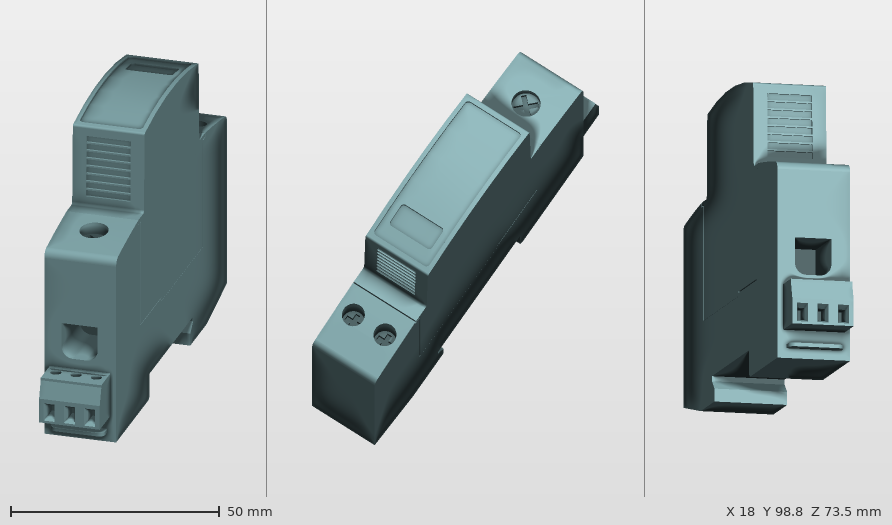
import cadquery as cq
import math


WIDTH = 18.0
LENGTH = 90.0
CENTRE_Y = 45.1
SHOULDER_Z = 50.6
SHOULDER_HALF = 27.0
SHOULDER_RADIUS = 230.0
FRONT_CORNER_RADIUS = 2.1
BACK_CORNER_RADIUS = 1.8
BACK_BEVEL_LENGTH = 16.6
BACK_BEVEL_RISE = 3.75

RAIL_FRONT_Y = 27.2
RAIL_BACK_Y = 62.6
RAIL_DEPTH = 6.6
RAIL_CHAMFER = 0.8
HOOK_TIP_Y = 60.2
HOOK_LOW_Z = 3.15
HOOK_HIGH_Z = 5.35

TOWER_TOP_Z = 73.51
TOWER_EDGE_Z = 71.1
TOWER_HALF_TOP = 21.95
TOWER_HALF_BASE = 22.5
TOWER_EDGE_RADIUS = 0.6
TOWER_BASE_RADIUS = 0.7

JOINT_GAP = 0.3
JOINT_BACK_Y = 70.3
JOINT_FRONT_Y = 20.0
JOINT_LIP_Y = 72.1
JOINT_LIP_Z = 49.4
JOINT_STEP_Y = 37.0
JOINT_STEP_Z = 22.4
JOINT_FLOOR_Z = 21.5
SEAM_WIDTH = 0.06
SEAM_DEPTH = 0.5

LABEL_WIDTH = 15.8
LABEL_LENGTH = 40.8
LABEL_DEPTH = 0.6
LABEL_CORNER_RADIUS = 1.0
WINDOW_WIDTH = 12.0
WINDOW_LENGTH = 6.1
WINDOW_Y = 58.45
WINDOW_DEPTH = 0.6
WINDOW_CORNER_RADIUS = 0.8

GRIP_COUNT = 8
GRIP_PITCH = 2.0
GRIP_HEIGHT = 1.6
GRIP_WIDTH = 11.1
GRIP_FIRST_Z = 53.05
GRIP_DEPTH = 0.6

FRONT_SCREW_Y = 11.2
FRONT_SCREW_RADIUS = 3.5
BACK_SCREW_Y = 78.9
BACK_SCREW_X = 4.55
BACK_SCREW_RADIUS = 2.75
FRONT_SCREW_DEPTH = 2.5
BACK_SCREW_DEPTH = 5.0
CROSS_DEPTH = 1.0
CROSS_TURN = 45
FRONT_CROSS_SPAN = 6.0
FRONT_CROSS_ARM = 1.3
BACK_CROSS_SPAN = 4.2
BACK_CROSS_ARM = 1.2

ENTRY_X = -0.15
ENTRY_WIDTH = 9.0
ENTRY_BOTTOM_Z = 20.5
ENTRY_TOP_Z = 29.5
ENTRY_CORNER_RADIUS = 2.8
ENTRY_DEPTH = 15.0

BLOCK_WIDTH = 15.2
BLOCK_REACH = 8.8
BLOCK_BOTTOM_Z = 6.85
BLOCK_TOP_Z = 17.95
BLOCK_TOP_REACH = 7.45
BLOCK_SLOPE_HIGH_Z = 17.3
BLOCK_SLOPE_LOW_Z = 13.05
POLE_COUNT = 3
POLE_PITCH = 5.08
POLE_SCREW_Y = -3.35
POLE_SCREW_RADIUS = 1.35
POLE_SCREW_DEPTH = 1.0
POLE_SLOT_WIDTH = 0.5
POLE_SLOT_DEPTH = 0.5
POLE_SLOT_TURN = 45
PORT_MOUTH_WIDTH = 2.75
PORT_MOUTH_BOTTOM_Z = 7.45
PORT_MOUTH_TOP_Z = 11.95
PORT_THROAT_WIDTH = 1.7
PORT_THROAT_BOTTOM_Z = 8.05
PORT_THROAT_TOP_Z = 11.0
PORT_FUNNEL_DEPTH = 1.5
PORT_DEPTH = 5.0
NOTCH_BACK_Y = -1.35
NOTCH_FRONT_Y = -2.2
NOTCH_DEPTH = 0.3
NOTCH_WIDTH = 14.4
NOTCH_END_SLOPE = 0.7

SLIDER_WIDTH = 13.6
SLIDER_REACH = 3.1
SLIDER_BOTTOM_Z = 2.4
SLIDER_TOP_Z = 3.3
SLIDER_CORNER_RADIUS = 1.6
LATCH_TIP_Y = 30.3
LATCH_TIP_Z = 5.4
LATCH_TOP_Z = 6.1
LATCH_BOTTOM_Z = 3.3
LATCH_BELLY_Y = 29.0
LATCH_BELLY_Z = 3.9

EMBED = 1.0


def shoulder_z(y):
    """Height of the shallow arc that forms both shoulders of the housing."""
    offset = abs(y - CENTRE_Y)
    arc_centre_z = SHOULDER_Z - math.sqrt(SHOULDER_RADIUS**2 - SHOULDER_HALF**2)
    return arc_centre_z + math.sqrt(SHOULDER_RADIUS**2 - offset**2)


def across(profile, width):
    """Extrude a YZ profile evenly to both sides of the middle plane."""
    return profile.extrude(width / 2, both=True)


def box(x_range, y_range, z_range):
    """Block that fills the three (low, high) ranges."""
    size = [high - low for low, high in (x_range, y_range, z_range)]
    corner = cq.Vector(x_range[0], y_range[0], z_range[0])
    return cq.Workplane(cq.Solid.makeBox(*size, corner))


def housing():
    shoulder_front = CENTRE_Y - SHOULDER_HALF
    shoulder_back = CENTRE_Y + SHOULDER_HALF
    front_middle = shoulder_front / 2
    back_middle = (shoulder_back + LENGTH) / 2
    profile = (
        cq.Workplane("YZ")
        .moveTo(0, 0)
        .lineTo(0, shoulder_z(0))
        .threePointArc((front_middle, shoulder_z(front_middle)), (shoulder_front, SHOULDER_Z))
        .lineTo(shoulder_back, SHOULDER_Z)
        .threePointArc((back_middle, shoulder_z(back_middle)), (LENGTH, shoulder_z(LENGTH)))
        .lineTo(LENGTH, BACK_BEVEL_RISE)
        .lineTo(LENGTH - BACK_BEVEL_LENGTH, 0)
        .lineTo(HOOK_TIP_Y, 0)
        .lineTo(HOOK_TIP_Y, HOOK_LOW_Z)
        .lineTo(RAIL_BACK_Y, HOOK_HIGH_Z)
        .lineTo(RAIL_BACK_Y, RAIL_DEPTH)
        .lineTo(RAIL_FRONT_Y, RAIL_DEPTH)
        .lineTo(RAIL_FRONT_Y, RAIL_CHAMFER)
        .lineTo(RAIL_FRONT_Y - RAIL_CHAMFER, 0)
        .close()
    )
    body = across(profile, WIDTH)
    front_corner = cq.selectors.NearestToPointSelector((0, 0, shoulder_z(0)))
    body = body.edges(front_corner).fillet(FRONT_CORNER_RADIUS)
    back_corner = cq.selectors.NearestToPointSelector((0, LENGTH, shoulder_z(LENGTH)))
    return body.edges(back_corner).fillet(BACK_CORNER_RADIUS)


def dome(drop):
    """Cartridge block under the domed top, lowered by `drop`; the dome is two equal arcs."""
    rise = TOWER_TOP_Z - TOWER_EDGE_Z
    radius = (TOWER_HALF_TOP**2 + rise**2) / (2 * rise)
    quarter = TOWER_HALF_TOP / 2
    quarter_z = TOWER_TOP_Z - radius + math.sqrt(radius**2 - quarter**2) - drop
    edge_z = TOWER_EDGE_Z - drop
    top_z = TOWER_TOP_Z - drop
    return across(
        cq.Workplane("YZ")
        .moveTo(CENTRE_Y - TOWER_HALF_BASE, SHOULDER_Z - EMBED)
        .lineTo(CENTRE_Y - TOWER_HALF_TOP, edge_z)
        .threePointArc((CENTRE_Y - quarter, quarter_z), (CENTRE_Y, top_z))
        .threePointArc((CENTRE_Y + quarter, quarter_z), (CENTRE_Y + TOWER_HALF_TOP, edge_z))
        .lineTo(CENTRE_Y + TOWER_HALF_BASE, SHOULDER_Z - EMBED)
        .close(),
        WIDTH,
    )


def tower_edge(side, half, z):
    return cq.selectors.NearestToPointSelector((0, CENTRE_Y + side * half, z))


def add_tower(body):
    body = body.union(dome(0), clean=False)
    for side in (-1, 1):
        body = body.edges(tower_edge(side, TOWER_HALF_TOP, TOWER_EDGE_Z)).fillet(TOWER_EDGE_RADIUS)
        body = body.edges(tower_edge(side, TOWER_HALF_BASE, SHOULDER_Z)).fillet(TOWER_BASE_RADIUS)
    return body


def rounded_column(width, length, centre_y, radius):
    """Upright rounded column that bounds a recess in the cartridge top."""
    return (
        cq.Workplane("XY", origin=(0, centre_y, SHOULDER_Z))
        .rect(width, length)
        .extrude(TOWER_TOP_Z - SHOULDER_Z)
        .edges("|Z")
        .fillet(radius)
    )


def cut_label(body):
    label = rounded_column(LABEL_WIDTH, LABEL_LENGTH, CENTRE_Y, LABEL_CORNER_RADIUS)
    window = rounded_column(WINDOW_WIDTH, WINDOW_LENGTH, WINDOW_Y, WINDOW_CORNER_RADIUS)
    body = body.cut(label.cut(dome(LABEL_DEPTH), clean=False), clean=False)
    return body.cut(window.cut(dome(LABEL_DEPTH + WINDOW_DEPTH), clean=False), clean=False)


def tower_half(z):
    """Half length of the tapered cartridge at height z."""
    taper = (TOWER_HALF_BASE - TOWER_HALF_TOP) / (TOWER_EDGE_Z - SHOULDER_Z + EMBED)
    return TOWER_HALF_TOP + taper * (TOWER_EDGE_Z - z)


def cut_grips(body):
    for index in range(GRIP_COUNT):
        low = GRIP_FIRST_Z + index * GRIP_PITCH
        reach = tower_half(low)
        for side in (-1, 1):
            slot = cq.Workplane("XY").box(GRIP_WIDTH, 2 * GRIP_DEPTH, GRIP_HEIGHT)
            slot = slot.translate((0, CENTRE_Y + side * reach, low + GRIP_HEIGHT / 2))
            body = body.cut(slot, clean=False)
    return body


def cut_joint(body):
    """Open clearance behind the cartridge and under its stepped front part."""
    x_range = (-WIDTH / 2, WIDTH / 2)
    gaps = (
        ((JOINT_BACK_Y, JOINT_BACK_Y + JOINT_GAP), (JOINT_FLOOR_Z, JOINT_LIP_Z)),
        ((JOINT_BACK_Y, JOINT_LIP_Y + JOINT_GAP), (JOINT_LIP_Z, JOINT_LIP_Z + JOINT_GAP)),
        ((JOINT_LIP_Y, JOINT_LIP_Y + JOINT_GAP), (JOINT_LIP_Z, SHOULDER_Z)),
        ((JOINT_FRONT_Y, JOINT_STEP_Y), (JOINT_STEP_Z, JOINT_STEP_Z + JOINT_GAP)),
    )
    for y_range, z_range in gaps:
        body = body.cut(box(x_range, y_range, z_range), clean=False)
    return body


def cut_seam(body):
    """Hairline groove on both sides where the cartridge rests against the housing."""
    lip_y = CENTRE_Y - SHOULDER_HALF
    seams = (
        ((lip_y, lip_y + SEAM_WIDTH), (JOINT_LIP_Z, SHOULDER_Z)),
        ((lip_y, JOINT_FRONT_Y), (JOINT_LIP_Z, JOINT_LIP_Z + SEAM_WIDTH)),
        ((JOINT_FRONT_Y, JOINT_FRONT_Y + SEAM_WIDTH), (JOINT_STEP_Z, JOINT_LIP_Z + SEAM_WIDTH)),
        ((JOINT_STEP_Y, JOINT_STEP_Y + SEAM_WIDTH), (JOINT_FLOOR_Z, JOINT_STEP_Z + JOINT_GAP)),
        ((JOINT_STEP_Y, JOINT_BACK_Y), (JOINT_FLOOR_Z, JOINT_FLOOR_Z + SEAM_WIDTH)),
    )
    side = WIDTH / 2
    for x_range in ((-side, SEAM_DEPTH - side), (side - SEAM_DEPTH, side)):
        for y_range, z_range in seams:
            body = body.cut(box(x_range, y_range, z_range), clean=False)
    return body


def cut_screw(body, centre, radius, depth, cross_span, cross_arm, angle):
    """Round screw well with a cross recess in the screw head at its floor."""
    x, y = centre
    place = cq.Workplane("XY", origin=(x, y, shoulder_z(y) - depth))
    well = place.circle(radius).extrude(2 * depth)
    cross = place.rect(cross_span, cross_arm).extrude(-CROSS_DEPTH)
    cross = cross.union(place.rect(cross_arm, cross_span).extrude(-CROSS_DEPTH))
    cross = cross.rotate((x, y, 0), (x, y, 1), angle)
    return body.cut(well, clean=False).cut(cross, clean=False)


def cut_screws(body):
    """One large screw at the front and two smaller ones at the back."""
    body = cut_screw(
        body,
        (0, FRONT_SCREW_Y),
        FRONT_SCREW_RADIUS,
        FRONT_SCREW_DEPTH,
        FRONT_CROSS_SPAN,
        FRONT_CROSS_ARM,
        CROSS_TURN,
    )
    for x in (-BACK_SCREW_X, BACK_SCREW_X):
        body = cut_screw(
            body,
            (x, BACK_SCREW_Y),
            BACK_SCREW_RADIUS,
            BACK_SCREW_DEPTH,
            BACK_CROSS_SPAN,
            BACK_CROSS_ARM,
            0,
        )
    return body


def cut_cable_entry(body):
    x_range = (ENTRY_X - ENTRY_WIDTH / 2, ENTRY_X + ENTRY_WIDTH / 2)
    entry = box(x_range, (0, ENTRY_DEPTH), (ENTRY_BOTTOM_Z, ENTRY_TOP_Z))
    entry = entry.edges("|Y and <Z").fillet(ENTRY_CORNER_RADIUS)
    return body.cut(entry, clean=False)


def port_section(y, width, low, high):
    return cq.Wire.makePolygon(
        [
            cq.Vector(-width / 2, y, low),
            cq.Vector(width / 2, y, low),
            cq.Vector(width / 2, y, high),
            cq.Vector(-width / 2, y, high),
        ],
        close=True,
    )


def wire_port():
    """Funnel that narrows into a straight rectangular throat."""
    throat_y = PORT_FUNNEL_DEPTH - BLOCK_REACH
    mouth = port_section(-BLOCK_REACH, PORT_MOUTH_WIDTH, PORT_MOUTH_BOTTOM_Z, PORT_MOUTH_TOP_Z)
    neck = port_section(throat_y, PORT_THROAT_WIDTH, PORT_THROAT_BOTTOM_Z, PORT_THROAT_TOP_Z)
    funnel = cq.Workplane(cq.Solid.makeLoft([mouth, neck], True))
    throat = box(
        (-PORT_THROAT_WIDTH / 2, PORT_THROAT_WIDTH / 2),
        (throat_y, PORT_DEPTH - BLOCK_REACH),
        (PORT_THROAT_BOTTOM_Z, PORT_THROAT_TOP_Z),
    )
    return funnel.union(throat)


def pole_screw():
    """Round screw well with a slotted screw head."""
    floor_z = BLOCK_TOP_Z - POLE_SCREW_DEPTH
    place = cq.Workplane("XY", origin=(0, POLE_SCREW_Y, floor_z))
    well = place.circle(POLE_SCREW_RADIUS).extrude(POLE_SCREW_DEPTH)
    slot = place.rect(2 * POLE_SCREW_RADIUS, POLE_SLOT_WIDTH).extrude(-POLE_SLOT_DEPTH)
    slot = slot.rotate((0, POLE_SCREW_Y, 0), (0, POLE_SCREW_Y, 1), -POLE_SLOT_TURN)
    return well.union(slot)


def terminal_block():
    block = across(
        cq.Workplane("YZ")
        .moveTo(EMBED, BLOCK_BOTTOM_Z)
        .lineTo(-BLOCK_REACH, BLOCK_BOTTOM_Z)
        .lineTo(-BLOCK_REACH, BLOCK_SLOPE_LOW_Z)
        .lineTo(-BLOCK_TOP_REACH, BLOCK_SLOPE_HIGH_Z)
        .lineTo(-BLOCK_TOP_REACH, BLOCK_TOP_Z)
        .lineTo(EMBED, BLOCK_TOP_Z)
        .close(),
        BLOCK_WIDTH,
    )
    notch_half = NOTCH_WIDTH / 2
    notch = (
        cq.Workplane("XY", origin=(0, 0, BLOCK_TOP_Z - NOTCH_DEPTH))
        .moveTo(-notch_half, NOTCH_BACK_Y)
        .lineTo(notch_half, NOTCH_BACK_Y)
        .lineTo(notch_half - NOTCH_END_SLOPE, NOTCH_FRONT_Y)
        .lineTo(NOTCH_END_SLOPE - notch_half, NOTCH_FRONT_Y)
        .close()
        .extrude(NOTCH_DEPTH)
    )
    block = block.cut(notch)
    for index in range(POLE_COUNT):
        x = (index - (POLE_COUNT - 1) / 2) * POLE_PITCH
        block = block.cut(wire_port().translate((x, 0, 0)))
        block = block.cut(pole_screw().translate((x, 0, 0)))
    return block


def slider_tab():
    half = SLIDER_WIDTH / 2
    tab = box((-half, half), (-SLIDER_REACH, EMBED), (SLIDER_BOTTOM_Z, SLIDER_TOP_Z))
    return tab.edges("|Z and <Y").fillet(SLIDER_CORNER_RADIUS)


def slider_latch():
    return across(
        cq.Workplane("YZ")
        .moveTo(RAIL_FRONT_Y - EMBED, LATCH_BOTTOM_Z)
        .lineTo(RAIL_FRONT_Y, LATCH_BOTTOM_Z)
        .threePointArc((LATCH_BELLY_Y, LATCH_BELLY_Z), (LATCH_TIP_Y, LATCH_TIP_Z))
        .lineTo(RAIL_FRONT_Y, LATCH_TOP_Z)
        .lineTo(RAIL_FRONT_Y - EMBED, LATCH_TOP_Z)
        .close(),
        SLIDER_WIDTH,
    )


device = add_tower(housing())
device = cut_label(device)
device = cut_grips(device)
device = cut_joint(device)
device = cut_seam(device)
device = cut_screws(device)
device = cut_cable_entry(device)
for attachment in (terminal_block(), slider_tab(), slider_latch()):
    device = device.union(attachment, clean=False)
result = device